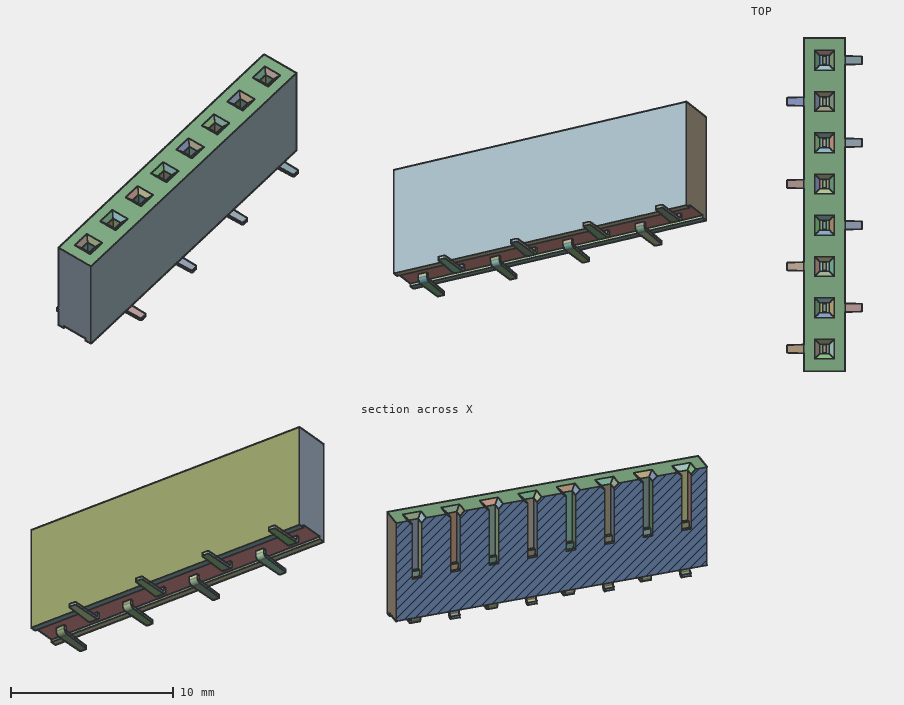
import cadquery as cq

length = 20.52
overall_height = 7.4
leg_span = 4.64
body_width = 2.55
body_height = 7.05
contact_count = 8
end_margin = 1.37

channel_width = 1.68
channel_depth = 0.18

mouth_size = 1.21
throat_size = 0.6
funnel_depth = 0.3
socket_depth = 4.1

sheet = 0.2
post_width = 0.62
post_tip_width = 0.5
post_tip_height = 0.41
leg_tip_width = 0.5
inner_bend_radius = 0.1
leg_corner_radius = 0.08

body_bottom = overall_height - body_height
socket_floor = overall_height - socket_depth
outer_bend_radius = inner_bend_radius + sheet
leg_reach = leg_span / 2
first_contact_y = end_margin - length / 2
pitch = (length - 2 * end_margin) / (contact_count - 1)


def housing():
    """Rectangular body with a full-length channel between two foot rails."""
    body = cq.Workplane("XY").box(body_width, length, body_height, centered=(True, True, False))
    channel = cq.Workplane("XY").box(channel_width, length, channel_depth, centered=(True, True, False))
    return body.cut(channel).translate((0, 0, body_bottom))


def socket(y):
    """Square funnel leading into a straight blind throat."""
    funnel = (
        cq.Workplane("XY", origin=(0, y, overall_height))
        .rect(mouth_size, mouth_size)
        .workplane(offset=-funnel_depth)
        .rect(throat_size, throat_size)
        .loft(ruled=True)
    )
    throat = (
        cq.Workplane("XY", origin=(0, y, socket_floor))
        .rect(throat_size, throat_size)
        .extrude(socket_depth - funnel_depth)
    )
    return funnel.union(throat)


def contact(y, side):
    """Sheet-metal strip bent from an upright post into a leg reaching to the given X side (+1 or -1)."""
    bend_end = inner_bend_radius + sheet / 2
    profile = (
        cq.Workplane("XZ")
        .moveTo(-side * sheet / 2, socket_floor)
        .lineTo(-side * sheet / 2, outer_bend_radius)
        .radiusArc((side * bend_end, 0), -side * outer_bend_radius)
        .lineTo(side * leg_reach, 0)
        .lineTo(side * leg_reach, sheet)
        .lineTo(side * bend_end, sheet)
        .radiusArc((side * sheet / 2, outer_bend_radius), side * inner_bend_radius)
        .lineTo(side * sheet / 2, socket_floor)
        .close()
    )
    strip = profile.extrude(post_width / 2, both=True)

    root_half = post_width / 2
    tip_half = leg_tip_width / 2
    plan = (
        cq.Workplane("XY")
        .polyline([
            (-side * sheet / 2, root_half),
            (side * bend_end, root_half),
            (side * leg_reach, tip_half),
            (side * leg_reach, -tip_half),
            (side * bend_end, -root_half),
            (-side * sheet / 2, -root_half),
        ])
        .close()
        .extrude(socket_floor)
    )
    end_edges = "|Z and >X" if side > 0 else "|Z and <X"
    plan = plan.edges(end_edges).fillet(leg_corner_radius)

    tip = (
        cq.Workplane("XY", origin=(0, 0, socket_floor))
        .rect(sheet, post_tip_width)
        .extrude(post_tip_height)
    )
    return strip.intersect(plan).union(tip).translate((0, y, 0))


result = housing()
for index in range(contact_count):
    contact_y = first_contact_y + index * pitch
    leg_side = -1 if index % 2 == 0 else 1
    result = result.cut(socket(contact_y)).union(contact(contact_y, leg_side))